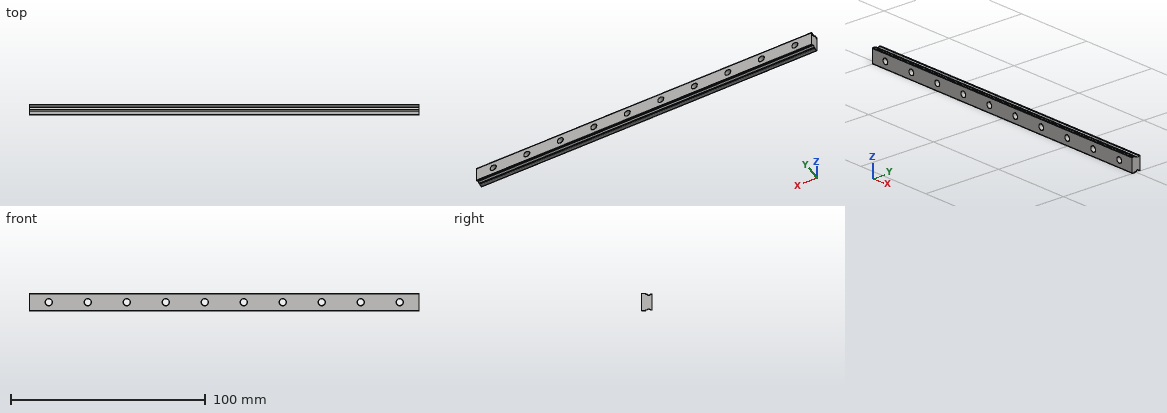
import cadquery as cq
import math

length = 200.0
height = 5.5
width = 9.0

base_chamfer = 0.3
base_height = 1.75
head_width = 8.15

groove_height = 3.8
groove_opening = 1.9
groove_radius = 1.4
groove_crest_slope = math.radians(6)

hole_count = 10
hole_pitch = length / hole_count
hole_diameter = 3.5

half_base = width / 2
half_head = head_width / 2
ledge_fillet = half_base - half_head


def groove_arc_points():
    """Crest-to-rim arc of the groove as (offset from crest height, Z) for crest, middle and rim."""
    crest_sine = math.sin(groove_crest_slope)
    rim_slope = math.asin(crest_sine + groove_opening / 2 / groove_radius)
    middle_slope = (groove_crest_slope + rim_slope) / 2
    arc_centre_z = half_head + groove_radius * math.cos(rim_slope)
    return [
        (groove_radius * (math.sin(slope) - crest_sine), arc_centre_z - groove_radius * math.cos(slope))
        for slope in (groove_crest_slope, middle_slope, rim_slope)
    ]


def half_section():
    """Half of the rail section on the +Z side of the centre plane."""
    (_, crest_z), (middle_offset, middle_z), (rim_offset, rim_z) = groove_arc_points()
    crest = (groove_height, crest_z)
    return (
        cq.Workplane("YZ", origin=(-length / 2, -height / 2, 0))
        .lineTo(0, half_base - base_chamfer)
        .lineTo(base_chamfer, half_base)
        .lineTo(base_height, half_base)
        .radiusArc((base_height + ledge_fillet, half_head), ledge_fillet)
        .lineTo(groove_height - rim_offset, rim_z)
        .threePointArc((groove_height - middle_offset, middle_z), crest)
        .threePointArc((groove_height + middle_offset, middle_z), (groove_height + rim_offset, rim_z))
        .lineTo(height, half_head)
        .lineTo(height, 0)
        .close()
    )


def rail_body():
    """Extrude the half section along the rail and mirror it about the centre plane."""
    half = half_section().extrude(length)
    return half.union(half.mirror("XY"))


def mounting_holes():
    """Row of through holes, half a pitch in from each end."""
    row = cq.Workplane("XZ").rarray(hole_pitch, 1, hole_count, 1)
    return row.circle(hole_diameter / 2).extrude(height, both=True)


result = rail_body().cut(mounting_holes())